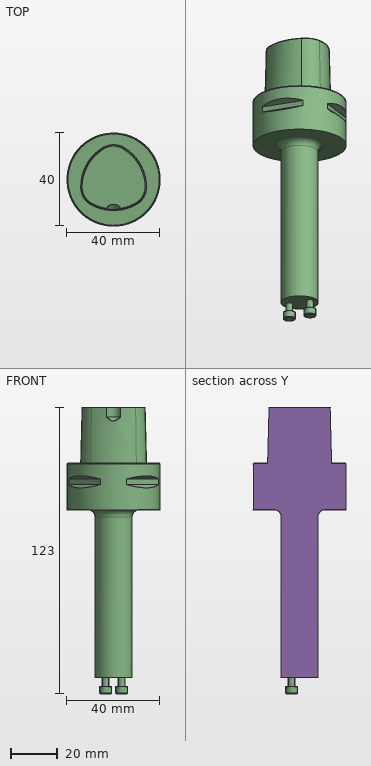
import cadquery as cq
import math

total_length = 123.0
shank_length = 24.0
flange_length = 20.0
screw_projection = 7.0
flange_top = total_length - shank_length
flange_bottom = flange_top - flange_length

flange_diameter = 40.0
flange_chamfer = 0.4
neck_diameter = 16.0
neck_fillet = 3.0

shank_width = 28.3
lobe_radius = 8.7
lobe_center_distance = 6.3
shank_taper = 0.6
lobe_angles = (90, 210, 330)
lobe_half_angle = 30
lobe_to_flank_angle = 60

notch_diameter = 6.6
notch_depth = 4.2
notch_back = 10.6
notch_point_angle = 105

slot_count = 4
first_slot_angle = 45
slot_depth = 2.5
slot_floor_height = 2.3
slot_mouth_height = 5.2
slot_center_z = 91.0

screw_offset = 3.5
screw_diameter = 3.0
head_diameter = 5.2
head_height = 3.1
head_chamfer = 0.4


def polar(radius, degrees, center=(0, 0)):
    angle = math.radians(degrees)
    return center[0] + radius * math.cos(angle), center[1] + radius * math.sin(angle)


def add_shank_outline(plane, inset):
    """Draw the constant-width rounded triangle with one lobe toward +Y."""
    lobe = lobe_radius - inset
    flank = shank_width - lobe_radius - inset
    first_angle = lobe_angles[0]
    first_center = polar(lobe_center_distance, first_angle)
    outline = plane.moveTo(*polar(lobe, first_angle - lobe_half_angle, first_center))
    for lobe_angle in lobe_angles:
        lobe_center = polar(lobe_center_distance, lobe_angle)
        flank_angle = lobe_angle + lobe_to_flank_angle
        flank_center = polar(lobe_center_distance, flank_angle + 180)
        outline = outline.threePointArc(
            polar(lobe, lobe_angle, lobe_center),
            polar(lobe, lobe_angle + lobe_half_angle, lobe_center),
        )
        outline = outline.threePointArc(
            polar(flank, flank_angle, flank_center),
            polar(flank, flank_angle + lobe_half_angle, flank_center),
        )
    return outline.close()


def make_shank():
    base = add_shank_outline(cq.Workplane("XY").workplane(offset=flange_top), 0)
    return add_shank_outline(base.workplane(offset=shank_length), shank_taper).loft(ruled=True)


def make_notch():
    radius = notch_diameter / 2
    point_height = radius / math.tan(math.radians(notch_point_angle / 2))
    rim_z = total_length - notch_depth
    return (
        cq.Workplane("XZ")
        .moveTo(0, total_length)
        .lineTo(radius, total_length)
        .lineTo(radius, rim_z)
        .lineTo(0, rim_z - point_height)
        .close()
        .revolve(360, (0, 0), (0, 1))
        .translate((0, -notch_back - radius, 0))
    )


def make_body():
    flange_radius = flange_diameter / 2
    neck_radius = neck_diameter / 2
    fillet_middle = polar(neck_fillet, 135, (neck_radius + neck_fillet, flange_bottom - neck_fillet))
    return (
        cq.Workplane("XZ")
        .moveTo(0, screw_projection)
        .lineTo(neck_radius, screw_projection)
        .lineTo(neck_radius, flange_bottom - neck_fillet)
        .threePointArc(fillet_middle, (neck_radius + neck_fillet, flange_bottom))
        .lineTo(flange_radius, flange_bottom)
        .lineTo(flange_radius, flange_top - flange_chamfer)
        .lineTo(flange_radius - flange_chamfer, flange_top)
        .lineTo(0, flange_top)
        .close()
        .revolve(360, (0, 0), (0, 1))
    )


def make_slot():
    """Slot cutter across the +X side of the flange."""
    mouth_x = flange_diameter / 2
    floor_x = mouth_x - slot_depth
    floor_half = slot_floor_height / 2
    mouth_half = slot_mouth_height / 2
    return (
        cq.Workplane("XZ")
        .polyline([
            (floor_x, slot_center_z - floor_half),
            (mouth_x, slot_center_z - mouth_half),
            (mouth_x, slot_center_z + mouth_half),
            (floor_x, slot_center_z + floor_half),
        ])
        .close()
        .extrude(flange_diameter / 2, both=True)
    )


def make_screw(x, y):
    head = (
        cq.Workplane("XY")
        .circle(head_diameter / 2)
        .extrude(head_height)
        .faces("<Z")
        .chamfer(head_chamfer)
    )
    stem = cq.Workplane("XY").circle(screw_diameter / 2).extrude(screw_projection)
    return head.union(stem).translate((x, y, 0))


result = make_body().union(make_shank()).cut(make_notch())

for slot_index in range(slot_count):
    slot_angle = first_slot_angle + slot_index * 360 / slot_count
    result = result.cut(make_slot().rotate((0, 0, 0), (0, 0, 1), slot_angle))

for side in (-1, 1):
    result = result.union(make_screw(side * screw_offset, -side * screw_offset))